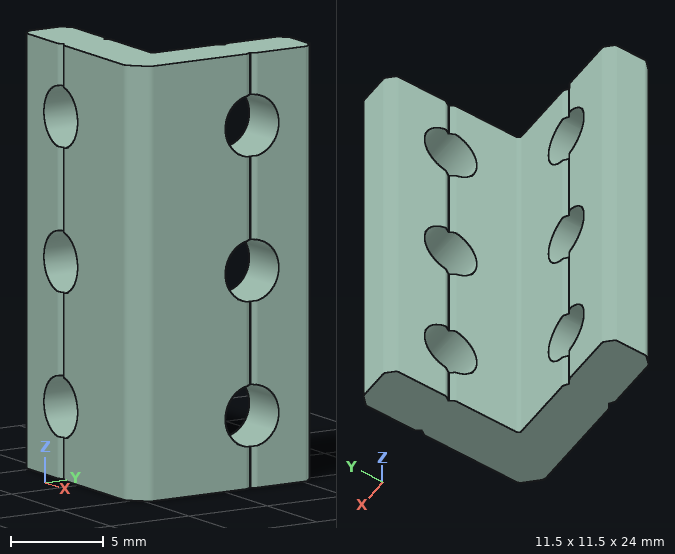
import cadquery as cq
import math

leg_length = 11.5
leg_thickness = 3.0
height = 24.0

hole_diameter = 3.4
hole_inset = 4.0
hole_pitch = height / 3
hole_count = 3

tip_chamfer = 0.5
tip_blend = 0.25
heel_chamfer = 1.0
heel_blend = 0.48
inner_corner_radius = 0.2

groove_half_width = 0.3
groove_depth = 0.2
groove_floor_half_width = 0.02
groove_lip_radius = 0.25

half_leg = leg_length / 2
inner_face = half_leg - leg_thickness
groove_centre = half_leg - hole_inset
edge_tolerance = 0.002


def vertical_edges_at(body, points):
    """Select the full-height vertical edges standing on the given XY points."""

    def stands_on_point(edge):
        centre = edge.Center()
        return any(
            math.hypot(centre.x - x, centre.y - y) < edge_tolerance
            for x, y in points
        )

    return body.edges("|Z").filter(stands_on_point)


def mirrored(points):
    """Swap the two legs: reflect points in the diagonal plane through the heel."""
    return [(-y, -x) for x, y in points]


def chamfer_ends(corner, first_direction, second_direction, size):
    """Two points where a chamfer of the given size meets the sides of a corner."""
    x, y = corner
    return [
        (x + size * dx, y + size * dy)
        for dx, dy in (first_direction, second_direction)
    ]


def groove_points(face, inward):
    """V groove across the X leg, on the face at this Y, listed from -X to +X."""
    floor = face + inward * groove_depth
    return [
        (-groove_centre - groove_half_width, face),
        (-groove_centre - groove_floor_half_width, floor),
        (-groove_centre + groove_floor_half_width, floor),
        (-groove_centre + groove_half_width, face),
    ]


outer_groove = groove_points(-half_leg, 1)
inner_groove = groove_points(-inner_face, -1)
tip_outer = chamfer_ends((-half_leg, -half_leg), (0, 1), (1, 0), tip_chamfer)
tip_inner = chamfer_ends((-half_leg, -inner_face), (1, 0), (0, -1), tip_chamfer)
heel = chamfer_ends((half_leg, -half_leg), (-1, 0), (0, 1), heel_chamfer)
inner_corner = (inner_face, -inner_face)


def make_angle():
    """L-shaped bar with grooved faces, chamfered tips and a chamfered heel."""
    x_leg = inner_groove[::-1] + tip_inner + tip_outer + outer_groove + heel[:1]
    y_leg = mirrored(x_leg)[::-1]
    outline = [inner_corner] + x_leg + y_leg
    body = cq.Workplane("XY").polyline(outline).close().extrude(height / 2, both=True)

    tips = tip_outer + tip_inner
    lips = [outer_groove[0], outer_groove[-1], inner_groove[0], inner_groove[-1]]
    blends = [
        (tips + mirrored(tips), tip_blend),
        (lips + mirrored(lips), groove_lip_radius),
        (heel, heel_blend),
        ([inner_corner], inner_corner_radius),
    ]
    for points, radius in blends:
        body = vertical_edges_at(body, points).fillet(radius)
    return body


def make_hole_row(plane, axis_offset):
    """Row of long cylinders, spaced along Z, that pass through one leg."""
    centres = [
        (axis_offset, (index - (hole_count - 1) / 2) * hole_pitch)
        for index in range(hole_count)
    ]
    return (
        cq.Workplane(plane)
        .pushPoints(centres)
        .circle(hole_diameter / 2)
        .extrude(leg_length, both=True)
    )


result = (
    make_angle()
    .cut(make_hole_row("XZ", -groove_centre))
    .cut(make_hole_row("YZ", groove_centre))
)